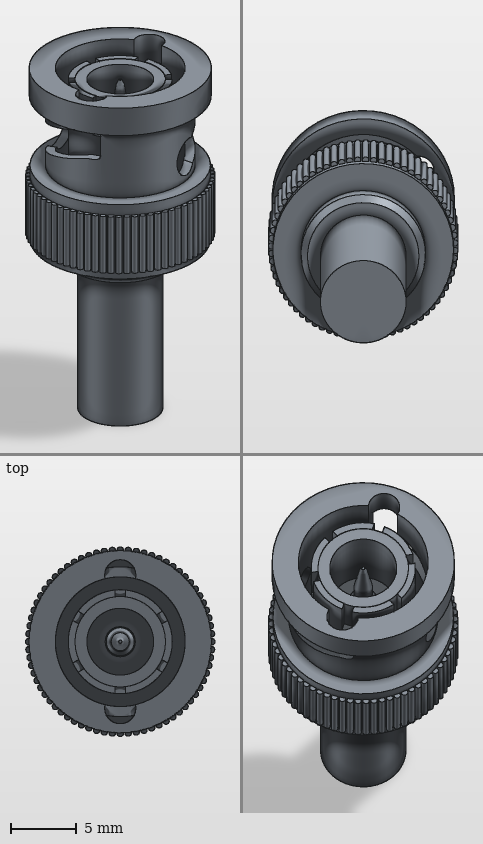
import cadquery as cq
import math

overall_height = 28.91
flange_height = 2.34
flange_bottom = overall_height - flange_height
sleeve_bottom = 20.65
knurl_top = 19.75
knurl_bottom = 14.94
nut_bottom = 14.33
nut_floor_top = 16.7
neck_bottom = 12.7
contact_rim = 27.98
insulator_rim = 27.94

flange_radius = 6.96
sleeve_radius = 5.72
collar_radius = 6.89
nut_bore_radius = 4.95
knurl_count = 72
knurl_outer_radius = 7.24
knurl_rib_radius = 0.25

track_copies = 2
track_width = 2.38
ramp_drop = 2.49
ramp_span = 90.0
ramp_slope = math.atan(ramp_drop / (sleeve_radius * math.radians(ramp_span)))
ramp_height = track_width / math.cos(ramp_slope)
entry_notch_offset = 5.07
entry_floor = 23.73
entry_fillet = 0.42
detent_radius = 1.48
detent_center = 22.56
cutter_inner_radius = 4.5
cutter_outer_radius = 6.3

contact_radius = 3.97
insulator_radius = 3.45
socket_radius = 2.55
socket_floor = 22.0
slit_count = 6
slit_width = 0.81
slit_bottom = 24.86
neck_radius = 4.75
neck_chamfer = 0.5
tube_radius = 3.27

pin_hole_radius = 1.15
pin_hole_floor = 18.0
pin_shank_radius = 1.07
pin_shoulder = 23.0
pin_contact_radius = 0.69
pin_contact_bottom = 23.4
pin_taper_bottom = 25.2
pin_nose_radius = 0.31
pin_nose_bottom = 27.5
pin_tip_radius = 0.12
pin_tip = 27.9


def cylinder(radius, bottom, top):
    return cq.Workplane("XY").workplane(offset=bottom).circle(radius).extrude(top - bottom)


def bayonet_ramp():
    """Helical cutter that climbs from the detent on -X to the entry notch on -Y."""
    ramp_bottom = entry_floor - ramp_drop
    pitch = ramp_drop * 360.0 / ramp_span
    helix = cq.Wire.makeHelix(pitch, ramp_drop, sleeve_radius, cq.Vector(0, 0, ramp_bottom))
    ramp = (
        cq.Workplane("XZ")
        .moveTo(cutter_inner_radius, ramp_bottom)
        .lineTo(cutter_outer_radius, ramp_bottom)
        .lineTo(cutter_outer_radius, ramp_bottom + ramp_height)
        .lineTo(cutter_inner_radius, ramp_bottom + ramp_height)
        .close()
        .sweep(cq.Workplane(helix), isFrenet=True)
    )
    return ramp.rotate((0, 0, 0), (0, 0, 1), 180)


def entry_notch():
    """Axial cutter on -Y that lets the mating lug in from the top."""
    return (
        cylinder(track_width / 2, entry_floor, overall_height)
        .faces("<Z")
        .edges()
        .fillet(entry_fillet)
        .translate((0, -entry_notch_offset, 0))
    )


def detent():
    """Round radial window on -X at the low end of the ramp."""
    return (
        cq.Workplane("YZ", origin=(-cutter_outer_radius, 0, detent_center))
        .circle(detent_radius)
        .extrude(cutter_outer_radius - cutter_inner_radius)
    )


def knurl_ribs():
    return (
        cq.Workplane("XY")
        .workplane(offset=knurl_bottom)
        .polarArray(knurl_outer_radius - knurl_rib_radius, 0, 360, knurl_count)
        .circle(knurl_rib_radius)
        .extrude(knurl_top - knurl_bottom)
    )


def make_coupling_nut():
    nut = (
        cylinder(flange_radius, flange_bottom, overall_height)
        .union(cylinder(sleeve_radius, sleeve_bottom, flange_bottom))
        .union(cylinder(collar_radius, nut_bottom, sleeve_bottom))
        .union(knurl_ribs())
        .cut(cylinder(nut_bore_radius, nut_floor_top, overall_height))
        .cut(cylinder(contact_radius, nut_bottom, nut_floor_top))
    )
    for copy in range(track_copies):
        for cutter in (entry_notch(), bayonet_ramp(), detent()):
            nut = nut.cut(cutter.rotate((0, 0, 0), (0, 0, 1), copy * 360 / track_copies))
    return nut


def contact_slits():
    """Radial slits that split the rim of the outer contact into fingers."""
    slit = (
        cq.Workplane("XY")
        .workplane(offset=slit_bottom)
        .center(0, contact_radius / 2)
        .rect(slit_width, contact_radius)
        .extrude(contact_rim - slit_bottom)
    )
    slits = cq.Workplane("XY")
    for index in range(slit_count):
        slits = slits.union(slit.rotate((0, 0, 0), (0, 0, 1), index * 360 / slit_count))
    return slits.cut(cylinder(insulator_radius, slit_bottom, contact_rim))


def make_plug_body():
    neck = cylinder(neck_radius, neck_bottom, nut_bottom).faces("<Z").edges().chamfer(neck_chamfer)
    return (
        neck.union(cylinder(tube_radius, 0, neck_bottom))
        .union(cylinder(contact_radius, nut_bottom, contact_rim))
        .cut(contact_slits())
        .cut(cylinder(insulator_radius, insulator_rim, contact_rim))
        .cut(cylinder(socket_radius, socket_floor, contact_rim))
        .cut(cylinder(pin_hole_radius, pin_hole_floor, socket_floor))
    )


def make_center_pin():
    return (
        cq.Workplane("XZ")
        .moveTo(0, pin_hole_floor)
        .lineTo(pin_shank_radius, pin_hole_floor)
        .lineTo(pin_shank_radius, pin_shoulder)
        .lineTo(pin_contact_radius, pin_contact_bottom)
        .lineTo(pin_contact_radius, pin_taper_bottom)
        .lineTo(pin_nose_radius, pin_nose_bottom)
        .lineTo(pin_tip_radius, pin_tip)
        .lineTo(0, pin_tip)
        .close()
        .revolve(360, (0, 0, 0), (0, 1, 0))
    )


coupling_nut = make_coupling_nut()
plug_body = make_plug_body()
center_pin = make_center_pin()

result = cq.Compound.makeCompound([coupling_nut.val(), plug_body.val(), center_pin.val()])